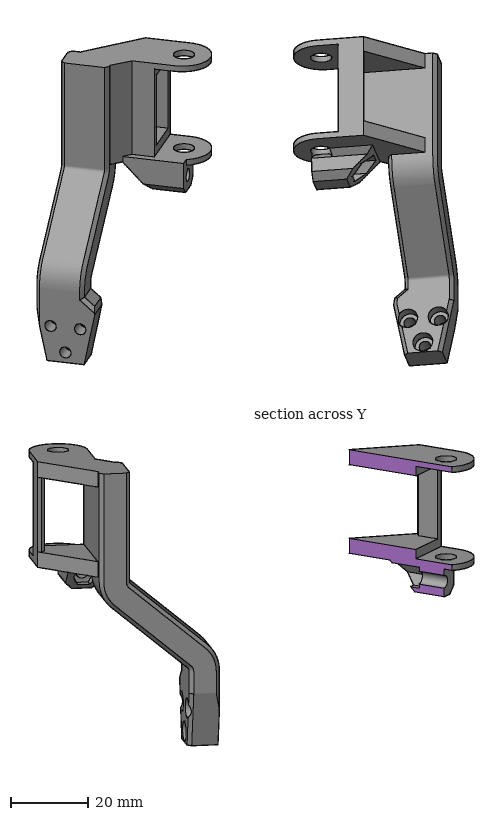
import cadquery as cq
import math

total_height = 73.85
arm_width = 12.85
arm_thickness = 8.0
arm_chamfer = 1.0
upper_front_y = 23.6
lower_bend_z = 22.75
slope_angle = 40.0
bend_inner_radius = 1.0

foot_bottom_left = 3.0
foot_bottom_right = 13.0
foot_taper_z = 14.5
foot_right_x = 15.9
ear_tip = (15.6, 16.4)
ear_root = (12.05, 19.35)
foot_hole_diameter = 3.0
foot_head_diameter = 5.2
foot_head_depth = 3.0
foot_holes = [(4.0, 9.9), (12.0, 9.9), (8.0, 2.9)]

bracket_bottom_z = 45.8
bracket_front_y = 29.7
bracket_back_y = 44.9
bracket_right_x = 36.5
lug_thickness = 1.6
box_right_x = 23.5
diagonal_back_start_x = 3.1
diagonal_back_end_x = 16.85
diagonal_front_end_x = 17.5
diagonal_front_start_y = 25.4
window_margin_z = 4.1
back_wall = 2.0
back_wall_chamfer = 0.95
lug_hole_diameter = 5.5
lug_hole_x = 29.3

block_left_x = 15.6
block_right_x = 31.9
block_front_y = 27.7
block_back_y = 36.85
block_bottom_z = 38.3
block_chamfer = 2.0
block_web = 1.7
nut_y = 31.9
nut_z = 42.4
nut_across_flats = 5.55
nut_floor_x = 24.4
bolt_diameter = 3.3

arm_back_y = upper_front_y + arm_thickness
lug_radius = (bracket_back_y - bracket_front_y) / 2
lug_center = (bracket_right_x - lug_radius, bracket_front_y + lug_radius)


def make_arm():
    """Sweep the chamfered section along the filleted centre line."""
    slope = math.radians(slope_angle)
    bend = math.pi / 2 - slope
    radius = bend_inner_radius + arm_thickness / 2
    tangent = radius * math.tan(bend / 2)
    to_mid = radius / math.cos(bend / 2) - radius
    along = (math.cos(slope), math.sin(slope))
    low_y = arm_thickness / 2
    high_y = upper_front_y + low_y
    low_z = lower_bend_z
    high_z = low_z + upper_front_y * math.tan(slope)
    inward = (math.cos(bend / 2), math.sin(bend / 2))

    path = (
        cq.Workplane("YZ")
        .moveTo(low_y, foot_taper_z)
        .lineTo(low_y, low_z - tangent)
        .threePointArc(
            (low_y + to_mid * inward[0], low_z - to_mid * inward[1]),
            (low_y + tangent * along[0], low_z + tangent * along[1]),
        )
        .lineTo(high_y - tangent * along[0], high_z - tangent * along[1])
        .threePointArc(
            (high_y - to_mid * inward[0], high_z + to_mid * inward[1]),
            (high_y, high_z + tangent),
        )
        .lineTo(high_y, total_height)
    )
    section = (
        cq.Workplane("XY", origin=(arm_width / 2, low_y, foot_taper_z))
        .sketch()
        .rect(arm_width, arm_thickness)
        .vertices()
        .chamfer(arm_chamfer)
        .finalize()
    )
    return section.sweep(path)


def make_foot():
    """Tapered plate with an ear on the right, chamfered to run into the arm."""
    outline = [
        (foot_bottom_left, 0),
        (foot_bottom_right, 0),
        (foot_right_x, foot_taper_z),
        ear_tip,
        ear_root,
        (0, ear_root[1]),
        (0, foot_taper_z),
    ]
    foot = cq.Workplane("XZ").polyline(outline).close().extrude(-arm_thickness)
    ear_edge = ((ear_tip[0] + ear_root[0]) / 2, (ear_tip[1] + ear_root[1]) / 2)
    left_edge = (0, (foot_taper_z + ear_root[1]) / 2)
    foot = foot.faces(">Y").edges("not #Z").chamfer(arm_chamfer)
    for x, z in (ear_edge, left_edge):
        foot = foot.edges(cq.NearestToPointSelector((x, 0, z))).chamfer(arm_chamfer)
    return foot


def cut_foot_holes(body):
    """Screw holes counterbored from the back face."""
    holes = (
        cq.Workplane("XZ").pushPoints(foot_holes)
        .circle(foot_hole_diameter / 2).extrude(-arm_thickness)
    )
    heads = (
        cq.Workplane("XZ", origin=(0, arm_thickness - foot_head_depth, 0)).pushPoints(foot_holes)
        .circle(foot_head_diameter / 2).extrude(-foot_head_depth)
    )
    return body.cut(holes).cut(heads)


def make_bracket():
    """Solid outline, opened between the lugs and windowed behind the arm."""
    height = total_height - bracket_bottom_z
    bracket = (
        cq.Workplane("XY", origin=(0, 0, bracket_bottom_z))
        .moveTo(diagonal_back_start_x, arm_back_y)
        .lineTo(diagonal_back_end_x, bracket_back_y)
        .lineTo(lug_center[0], bracket_back_y)
        .threePointArc((bracket_right_x, lug_center[1]), (lug_center[0], bracket_front_y))
        .lineTo(diagonal_front_end_x, bracket_front_y)
        .lineTo(arm_width, diagonal_front_start_y)
        .lineTo(arm_width / 2, diagonal_front_start_y)
        .lineTo(diagonal_back_start_x, arm_back_y - arm_chamfer)
        .close()
        .extrude(height)
    )
    gap = (
        cq.Workplane("XY", origin=(box_right_x, 0, bracket_bottom_z + lug_thickness))
        .rect(bracket_right_x, 2 * bracket_back_y)
        .extrude(height - 2 * lug_thickness)
        .translate((bracket_right_x / 2, 0, 0))
    )
    cavity_y = bracket_back_y - back_wall
    window = (
        cq.Workplane("XY", origin=(0, 0, bracket_bottom_z + window_margin_z))
        .moveTo(0, arm_back_y)
        .lineTo(box_right_x, arm_back_y)
        .lineTo(box_right_x, cavity_y)
        .lineTo(diagonal_back_end_x + back_wall_chamfer, cavity_y)
        .lineTo(diagonal_back_end_x, cavity_y + back_wall_chamfer)
        .lineTo(diagonal_back_end_x, bracket_back_y)
        .lineTo(0, bracket_back_y)
        .close()
        .extrude(height - 2 * window_margin_z)
    )
    return bracket.cut(gap).cut(window)


def make_block():
    """Side profile of the nut block, trimmed by a bevelled front profile."""
    top_z = bracket_bottom_z + lug_thickness
    bevel = bracket_bottom_z - block_bottom_z
    side = [
        (block_front_y, top_z),
        (block_back_y + block_web, top_z),
        (block_back_y + block_web, bracket_bottom_z),
        (block_back_y, bracket_bottom_z - block_web),
        (block_back_y, block_bottom_z + block_chamfer),
        (block_back_y - block_chamfer, block_bottom_z),
        (block_front_y + block_chamfer, block_bottom_z),
        (block_front_y, block_bottom_z + block_chamfer),
    ]
    front = [
        (block_left_x, top_z),
        (block_right_x, top_z),
        (block_right_x, block_bottom_z),
        (block_left_x + bevel, block_bottom_z),
        (block_left_x, bracket_bottom_z),
    ]
    block = cq.Workplane("YZ").polyline(side).close().extrude(block_right_x)
    bevelled = cq.Workplane("XZ").polyline(front).close().extrude(-bracket_back_y)
    return block.intersect(bevelled)


def cut_nut_pocket(body):
    """Hexagonal pocket entered from the bevelled end, with a bolt hole right through."""
    corner_diameter = nut_across_flats / math.cos(math.pi / 6)
    nut = (
        cq.Workplane("YZ", origin=(block_left_x, nut_y, nut_z))
        .polygon(6, corner_diameter).extrude(nut_floor_x - block_left_x)
    )
    bolt = (
        cq.Workplane("YZ", origin=(block_left_x, nut_y, nut_z))
        .circle(bolt_diameter / 2).extrude(block_right_x - block_left_x)
    )
    return body.cut(nut).cut(bolt)


def cut_lug_holes(body):
    """Round holes through both lugs; below them the block keeps a floor sloping down to its back."""
    hole = (
        cq.Workplane("XY", origin=(lug_hole_x, lug_center[1], block_bottom_z))
        .circle(lug_hole_diameter / 2).extrude(total_height - block_bottom_z)
    )
    floor_z = bracket_bottom_z - block_web
    floor = (
        cq.Workplane("YZ", origin=(block_left_x, 0, 0))
        .moveTo(block_back_y, floor_z)
        .lineTo(block_back_y - block_web, bracket_bottom_z)
        .lineTo(block_front_y, bracket_bottom_z)
        .lineTo(block_front_y, block_bottom_z)
        .lineTo(block_back_y, block_bottom_z)
        .close()
        .extrude(bracket_right_x - block_left_x)
    )
    return body.cut(hole.cut(floor))


arm = make_arm().union(make_foot())
bracket = make_bracket().union(make_block())
bracket = cut_lug_holes(cut_nut_pocket(bracket))
result = cut_foot_holes(arm).union(bracket)